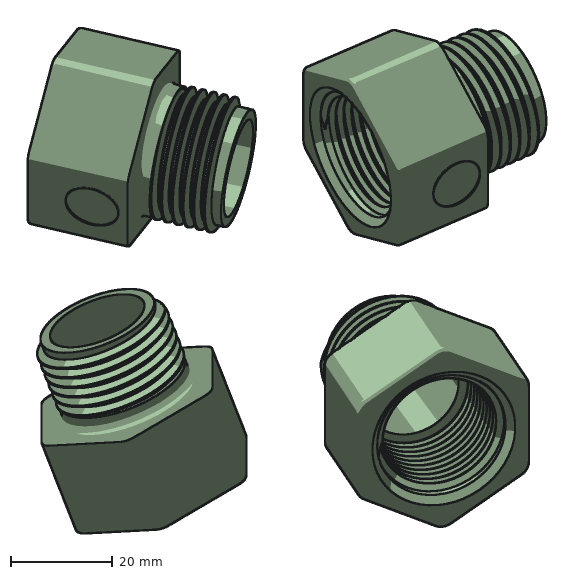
import cadquery as cq
import math

across_flats = 35.85
head_length = 20.8
corner_radius = 3.15
head_edge_radius = 0.8
label_diameter = 10.9
label_centre_x = 13.5
label_depth = 0.25

overall_length = 38.3
spigot_radius = 23.88 / 2
collar_radius = 26.65 / 2
collar_fillet = 1.55
collar_land = 1.65
collar_end = head_length + collar_fillet + collar_land

male_crest_radius = 13.6
male_crest_width = 0.32
male_base_width = 2.1
male_thread_end = 36.5
male_thread_length = 13.25
male_turns = 6
male_pitch = male_thread_length / male_turns
male_runout_angle = 32.0

through_radius = 19.8 / 2
mouth_radius = 29.7 / 2
socket_radius = 26.65 / 2
mouth_depth = mouth_radius - socket_radius
socket_depth = head_length

taper_slope = 1 / 32
female_thread_height = 1.35
female_crest_width = 0.2
female_base_width = 1.75
female_thread_start = mouth_depth + female_base_width / 2
female_thread_length = 18.15
female_turns = 10
female_pitch = female_thread_length / female_turns
female_runout_angle = -15.0

no_taper = 360.0

overlap = 0.15

runout_steps = 4


def socket_wall_radius(x):
    """Radius of the tapered socket wall at the distance x from the head face."""
    return socket_radius - taper_slope * (x - mouth_depth)


def thread_profile(x, base_radius, crest_radius, base_width, crest_width):
    """Closed trapezoid in the half plane on the +Y side of the axis."""
    corners = [
        (x - base_width / 2, base_radius),
        (x - crest_width / 2, crest_radius),
        (x + crest_width / 2, crest_radius),
        (x + base_width / 2, base_radius),
    ]
    return cq.Wire.makePolygon([cq.Vector(px, radius, 0) for px, radius in corners], close=True)


def thread_ridge(x, profile, pitch, turns, radius, cone_angle=no_taper):
    """Right-hand ridge that starts on the +Y side at x and advances along +X."""
    path = cq.Wire.makeHelix(pitch, pitch * turns, radius, angle=cone_angle)
    path = path.rotate(cq.Vector(0, 0, 0), cq.Vector(1, 1, 1), 120)
    path = path.translate(cq.Vector(x, 0, 0))
    return cq.Workplane(obj=cq.Solid.sweep(profile, [], path, True, True))


def thread_runout(x, radii, base_width, crest_width, pitch, angle):
    """Continue a thread end over the given angle while its crest fades into the wall.

    The radii are those of the sunk base, the full crest and the wall, in this order.
    """
    base_radius, crest_radius, wall_radius = radii
    sections = []
    for step in range(runout_steps + 1):
        fade = step / runout_steps
        turn = angle * fade
        section = thread_profile(
            x + pitch * turn / 360,
            base_radius,
            crest_radius + (wall_radius - crest_radius) * fade,
            base_width + (crest_width - base_width) * fade,
            crest_width,
        )
        sections.append(section.rotate(cq.Vector(0, 0, 0), cq.Vector(1, 0, 0), turn))
    return cq.Workplane(obj=cq.Solid.makeLoft(sections))


def head():
    """Hexagonal prism along X with two flats square to Y and a sunk label disc on the -Y flat."""
    across_corners = across_flats / math.cos(math.radians(30))
    prism = (
        cq.Workplane("YZ")
        .transformed(rotate=(0, 0, 90))
        .polygon(6, across_corners)
        .extrude(head_length)
        .edges("|X").fillet(corner_radius)
        .faces("<X").edges().fillet(head_edge_radius)
    )
    label = (
        cq.Workplane("XZ", origin=(label_centre_x, -across_flats / 2, 0))
        .circle(label_diameter / 2)
        .extrude(-label_depth)
    )
    return prism.cut(label)


def spigot():
    """Plain spigot with its collar and the fillet that joins it to the head."""
    fillet_offset = collar_fillet * (1 - math.sqrt(0.5))
    return (
        cq.Workplane("XY")
        .moveTo(head_length, 0)
        .lineTo(head_length, collar_radius + collar_fillet)
        .threePointArc(
            (head_length + fillet_offset, collar_radius + fillet_offset),
            (head_length + collar_fillet, collar_radius),
        )
        .lineTo(collar_end, collar_radius)
        .lineTo(collar_end, spigot_radius)
        .lineTo(overall_length, spigot_radius)
        .lineTo(overall_length, 0)
        .close()
        .revolve(360, (0, 0, 0), (1, 0, 0))
    )


def male_thread():
    """Thread on the spigot, ending with a fade on the +Y side."""
    base_radius = spigot_radius - overlap
    start = male_thread_end - male_thread_length
    profile = thread_profile(
        start, base_radius, male_crest_radius, male_base_width, male_crest_width
    )
    ridge = thread_ridge(start, profile, male_pitch, male_turns, spigot_radius)
    collar_zone = cq.Workplane("YZ").circle(across_flats / 2).extrude(collar_end)
    end_fade = thread_runout(
        male_thread_end,
        (base_radius, male_crest_radius, spigot_radius),
        male_base_width,
        male_crest_width,
        male_pitch,
        male_runout_angle,
    )
    return ridge.cut(collar_zone), end_fade


def bore():
    """Chamfered mouth, tapered socket and through hole as one cutting solid."""
    return (
        cq.Workplane("XY")
        .lineTo(0, mouth_radius)
        .lineTo(mouth_depth, socket_radius)
        .lineTo(socket_depth, socket_wall_radius(socket_depth))
        .lineTo(socket_depth, through_radius)
        .lineTo(overall_length, through_radius)
        .lineTo(overall_length, 0)
        .close()
        .revolve(360, (0, 0, 0), (1, 0, 0))
    )


def female_thread():
    """Thread in the tapered socket, starting with a fade on the +Y side."""
    start = female_thread_start
    wall_radius = socket_wall_radius(start)
    base_radius = wall_radius + overlap
    crest_radius = wall_radius - female_thread_height
    profile = thread_profile(
        start, base_radius, crest_radius, female_base_width, female_crest_width
    )
    cone_angle = -math.degrees(math.atan(taper_slope))
    ridge = thread_ridge(start, profile, female_pitch, female_turns, wall_radius, cone_angle)
    start_fade = thread_runout(
        start,
        (base_radius, crest_radius, wall_radius),
        female_base_width,
        female_crest_width,
        female_pitch,
        female_runout_angle,
    )
    return ridge, start_fade


result = head().union(spigot()).cut(bore())
for piece in (*male_thread(), *female_thread()):
    result = result.union(piece)